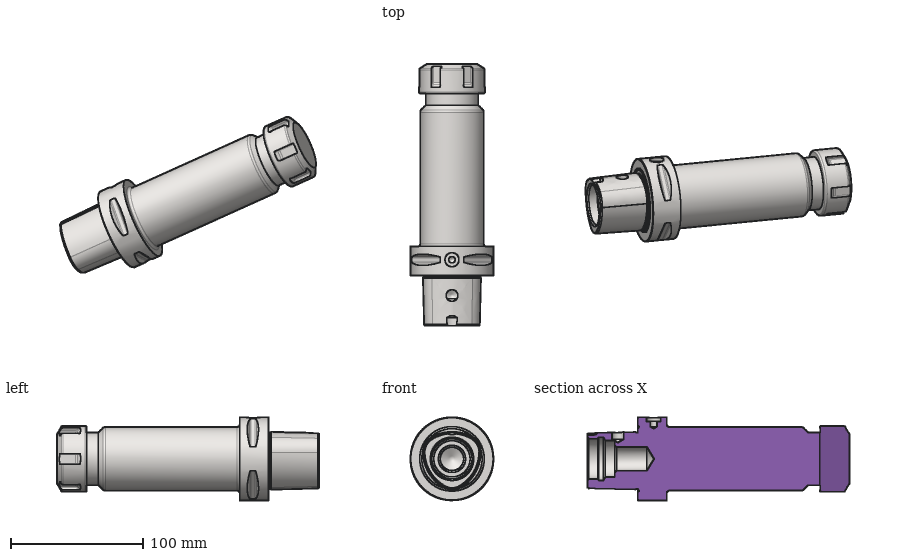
import cadquery as cq
import math


shank_length = 38.0
gauge_length = 160.0

flange_diameter = 63.0
flange_length = 22.0
flange_edge_chamfer = 0.4
face_groove_outer_radius = 24.4
face_groove_inner_radius = 22.8
face_groove_depth = 1.0

body_radius = 24.1
body_root_fillet = 2.0
neck_radius = 20.0
neck_end = 128.7
shoulder_angle = 45.0
shoulder_blend_radius = 2.5

polygon_width = 44.0
lobe_offset = 10.0
lobe_radius = 13.4
flank_radius = polygon_width - lobe_radius
lobe_angles = (30, 150, 270)
lobe_half_angle = 30
taper_slope = 1 / 40
relief_depth = 0.5
relief_end = 1.0
relief_chamfer_end = 2.0
tip_chamfer_length = 1.2
tip_chamfer_depth = 0.6

bore_radius = 15.2
bore_mouth_radius = 16.4
bore_mouth_depth = 1.2
clamp_groove_bevel_start = 7.8
clamp_groove_start = 8.6
clamp_groove_end = 12.0
clamp_groove_radius = 16.2
inner_bore_start = 13.5
inner_bore_radius = 13.7
inner_bore_depth = 20.6
thread_mouth_radius = 10.3
pilot_radius = 8.8
pilot_depth = 45.0
drill_half_angle = 59.0

shank_hole_y = -15.0
shank_hole_radius = 4.4
shank_hole_floor_z = 15.0
notch_floor_z = 18.2
notch_radius = 6.2
notch_length = 6.2
coolant_hole_y = 12.0
coolant_recess_radius = 5.3
coolant_recess_depth = 3.1
coolant_hole_radius = 2.4
coolant_hole_depth = 4.0

grip_slot_angles = (45, 135, 225, 315)
grip_slot_y = 12.0
grip_floor_distance = 27.7
grip_floor_width = 4.2
grip_floor_fillet = 1.0
grip_wall_angle = 30.0

nut_radius = 25.0
nut_length = 22.5
nut_front_radius = 18.7
nut_cone_angle = 60.0
nut_edge_fillet = 1.5
nut_rear_fillet = 1.3
nut_slot_count = 6
nut_first_slot_angle = 30.0
nut_slot_width = 8.0
nut_slot_floor_radius = 22.0
nut_slot_ramp_angle = 45.0
nut_slot_end = 4.6
nut_slot_root_radius = 2.1
nut_slot_floor_fillet = 0.6

tip_y = -shank_length
flange_radius = flange_diameter / 2
nut_rear_y = gauge_length - nut_length


def revolve_about_axis(outline):
    """Turn a closed outline of (radius, y) around the Y axis."""
    return outline.close().revolve(360, (0, 0, 0), (0, 1, 0))


def cone_height(radius):
    """Length of a drill point of the given radius."""
    return radius / math.tan(math.radians(drill_half_angle))


def drilled_from_top(y, radius, top_z, floor_z):
    """Vertical blind hole with a drill point below its floor."""
    profile = (
        cq.Workplane("XZ", origin=(0, y, 0))
        .moveTo(0, top_z)
        .lineTo(radius, top_z)
        .lineTo(radius, floor_z)
        .lineTo(0, floor_z - cone_height(radius))
        .close()
    )
    return profile.revolve(360, (0, 0, 0), (0, 1, 0))


def turned_holder():
    angle = math.radians(shoulder_angle)
    blend_drop = shoulder_blend_radius * (1 - math.cos(angle))
    blend_length = shoulder_blend_radius * math.sin(angle)
    cone_top_radius = body_radius - blend_drop
    cone_end_y = neck_end - (cone_top_radius - neck_radius) / math.tan(angle)
    blend_end_y = cone_end_y - blend_length
    half = angle / 2
    blend_mid = (
        body_radius - shoulder_blend_radius * (1 - math.cos(half)),
        blend_end_y + shoulder_blend_radius * math.sin(half),
    )
    outline = (
        cq.Workplane("XY")
        .moveTo(0, 0)
        .lineTo(face_groove_inner_radius, 0)
        .lineTo(face_groove_outer_radius, face_groove_depth)
        .lineTo(face_groove_outer_radius, 0)
        .lineTo(flange_radius - flange_edge_chamfer, 0)
        .lineTo(flange_radius, flange_edge_chamfer)
        .lineTo(flange_radius, flange_length)
        .lineTo(body_radius + body_root_fillet, flange_length)
        .radiusArc((body_radius, flange_length + body_root_fillet), body_root_fillet)
        .lineTo(body_radius, blend_end_y)
        .threePointArc(blend_mid, (cone_top_radius, cone_end_y))
        .lineTo(neck_radius, neck_end)
        .lineTo(neck_radius, nut_rear_y)
        .lineTo(0, nut_rear_y)
    )
    return revolve_about_axis(outline)


def polygon_wire(y, inset):
    """Constant-width curve of three lobe arcs and three flank arcs, moved inward by inset."""
    def on_arc(centre_angle, centre_distance, radius, normal_angle):
        c = math.radians(centre_angle)
        n = math.radians(normal_angle)
        return (
            centre_distance * math.cos(c) + radius * math.cos(n),
            centre_distance * math.sin(c) + radius * math.sin(n),
        )

    lobe = lobe_radius - inset
    flank = flank_radius - inset
    first = lobe_angles[0]
    wire = cq.Workplane("XZ", origin=(0, y, 0)).moveTo(
        *on_arc(first, lobe_offset, lobe, first - lobe_half_angle)
    )
    for angle in lobe_angles:
        wire = wire.threePointArc(
            on_arc(angle, lobe_offset, lobe, angle),
            on_arc(angle, lobe_offset, lobe, angle + lobe_half_angle),
        )
        flank_angle = angle + 2 * lobe_half_angle
        wire = wire.threePointArc(
            on_arc(flank_angle + 180, lobe_offset, flank, flank_angle),
            on_arc(flank_angle + 180, lobe_offset, flank, flank_angle + lobe_half_angle),
        )
    return wire.close().val()


def polygon_shank():
    tip_inset = shank_length * taper_slope
    chamfer_y = tip_y + tip_chamfer_length
    sections = [
        (face_groove_depth, relief_depth),
        (-relief_end, relief_depth),
        (-relief_chamfer_end, relief_chamfer_end * taper_slope),
        (chamfer_y, -chamfer_y * taper_slope),
        (tip_y, tip_inset + tip_chamfer_depth),
    ]
    wires = [polygon_wire(y, inset) for y, inset in sections]
    return cq.Workplane(cq.Solid.makeLoft(wires, True))


def shank_bore():
    pilot_y = tip_y + pilot_depth
    inner_floor_y = tip_y + inner_bore_depth
    thread_chamfer = thread_mouth_radius - pilot_radius
    outline = (
        cq.Workplane("XY")
        .moveTo(0, tip_y)
        .lineTo(bore_mouth_radius, tip_y)
        .lineTo(bore_radius, tip_y + bore_mouth_depth)
        .lineTo(bore_radius, tip_y + clamp_groove_bevel_start)
        .lineTo(clamp_groove_radius, tip_y + clamp_groove_start)
        .lineTo(clamp_groove_radius, tip_y + clamp_groove_end)
        .lineTo(inner_bore_radius, tip_y + inner_bore_start)
        .lineTo(inner_bore_radius, inner_floor_y)
        .lineTo(thread_mouth_radius, inner_floor_y)
        .lineTo(pilot_radius, inner_floor_y + thread_chamfer)
        .lineTo(pilot_radius, pilot_y)
        .lineTo(0, pilot_y + cone_height(pilot_radius))
    )
    return revolve_about_axis(outline)


def tip_notch():
    """Round-bottomed keyway along the shank, ending in a 45 degree cone."""
    end_y = tip_y + notch_length + notch_radius
    profile = (
        cq.Workplane("XY")
        .moveTo(0, tip_y)
        .lineTo(notch_radius, tip_y)
        .lineTo(notch_radius, tip_y + notch_length)
        .lineTo(0, end_y)
    )
    return revolve_about_axis(profile).translate((0, 0, notch_floor_z + notch_radius))


def coolant_port():
    recess_floor = flange_radius - coolant_recess_depth
    recess = (
        cq.Workplane("XY", origin=(0, coolant_hole_y, recess_floor))
        .circle(coolant_recess_radius)
        .extrude(2 * coolant_recess_depth)
    )
    hole_floor = recess_floor - coolant_hole_depth
    return recess.union(drilled_from_top(coolant_hole_y, coolant_hole_radius, flange_radius, hole_floor))


def grip_slot(angle):
    """Straight V-walled slot cut tangentially across the flange rim."""
    depth = flange_radius - grip_floor_distance
    floor_half = grip_floor_width / 2
    rim_half = floor_half + depth * math.tan(math.radians(grip_wall_angle))
    slot = (
        cq.Workplane("YZ")
        .moveTo(grip_slot_y - floor_half, grip_floor_distance)
        .lineTo(grip_slot_y + floor_half, grip_floor_distance)
        .lineTo(grip_slot_y + rim_half, flange_radius)
        .lineTo(grip_slot_y - rim_half, flange_radius)
        .close()
        .extrude(flange_radius, both=True)
        .edges("|X and <Z")
        .fillet(grip_floor_fillet)
    )
    return slot.rotate((0, 0, 0), (0, 1, 0), angle)


def make_holder():
    holder = turned_holder().union(polygon_shank())
    holder = holder.cut(shank_bore())
    holder = holder.cut(tip_notch())
    holder = holder.cut(drilled_from_top(shank_hole_y, shank_hole_radius, flange_radius, shank_hole_floor_z))
    holder = holder.cut(coolant_port())
    for angle in grip_slot_angles:
        holder = holder.cut(grip_slot(angle))
    return holder


def nut_slot(angle):
    """Spanner slot open at the nut's front, running out up a ramp to the rim at its rear end."""
    ramp = math.radians(nut_slot_ramp_angle)
    depth = nut_radius - nut_slot_floor_radius
    run_out_y = nut_rear_y + nut_slot_end
    corner_y = run_out_y + depth / math.tan(ramp)
    setback = nut_slot_root_radius * math.tan(ramp / 2)
    ramp_foot = (corner_y - setback * math.cos(ramp), nut_slot_floor_radius + setback * math.sin(ramp))
    slot = (
        cq.Workplane("YZ")
        .moveTo(gauge_length, nut_slot_floor_radius)
        .lineTo(corner_y + setback, nut_slot_floor_radius)
        .radiusArc(ramp_foot, nut_slot_root_radius)
        .lineTo(run_out_y, nut_radius)
        .lineTo(run_out_y, nut_radius + depth)
        .lineTo(gauge_length, nut_radius + depth)
        .close()
        .extrude(nut_slot_width / 2, both=True)
        .edges("|Y and <Z")
        .fillet(nut_slot_floor_fillet)
    )
    return slot.rotate((0, 0, 0), (0, 1, 0), angle)


def make_nut():
    cone_length = (nut_radius - nut_front_radius) / math.tan(math.radians(nut_cone_angle))
    rim_y = gauge_length - cone_length
    outline = (
        cq.Workplane("XY")
        .moveTo(0, nut_rear_y)
        .lineTo(nut_radius - nut_rear_fillet, nut_rear_y)
        .radiusArc((nut_radius, nut_rear_y + nut_rear_fillet), -nut_rear_fillet)
        .lineTo(nut_radius, rim_y)
        .lineTo(nut_front_radius, gauge_length)
        .lineTo(0, gauge_length)
    )
    nut = revolve_about_axis(outline)
    rim = cq.selectors.NearestToPointSelector((0, rim_y, nut_radius))
    nut = nut.edges("%CIRCLE").edges(rim).fillet(nut_edge_fillet)
    slot_pitch = 360 / nut_slot_count
    for i in range(nut_slot_count):
        nut = nut.cut(nut_slot(nut_first_slot_angle + i * slot_pitch))
    return nut


holder = make_holder()
nut = make_nut()

result = cq.Compound.makeCompound([holder.val(), nut.val()])